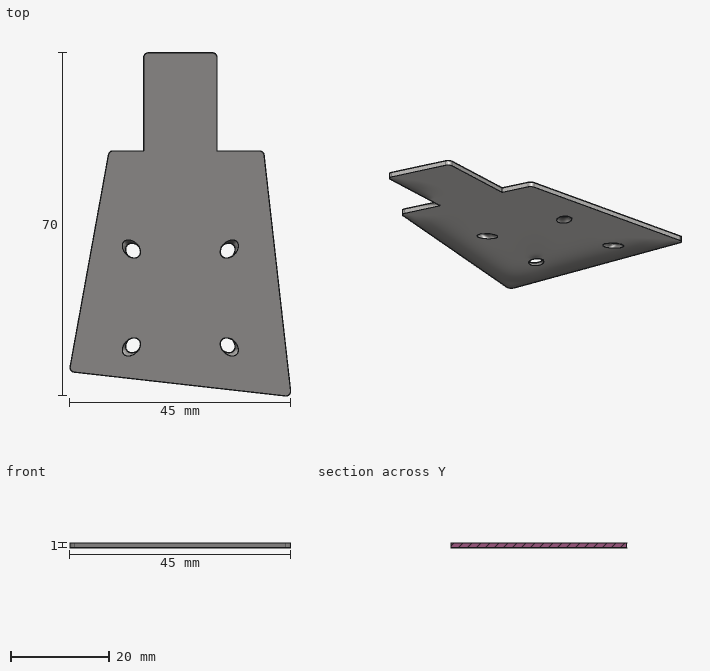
import cadquery as cq
import math

thickness = 1.0
corner_radius = 1.0
body_width = 45.0
overall_length = 70.0

tab_width = 15.0
tab_length = 20.0

hole_diameter = 3.0
hole_spacing = 20.0
hole_tilt = 45.0

upper_left_x = -13.7
upper_right_x = 16.1
lower_left_y = -14.15

bottom_y = -20.0
tab_end_y = bottom_y + overall_length
shoulder_y = tab_end_y - tab_length

corner_x = body_width / 2 - corner_radius
upper_corner_y = shoulder_y - corner_radius
upper_left_corner = (upper_left_x, upper_corner_y)
upper_right_corner = (upper_right_x, upper_corner_y)
lower_right_corner = (corner_x, bottom_y + corner_radius)
lower_left_corner = (-corner_x, lower_left_y)


def make_body():
    """Tapered plate: the polygon of corner centres grown outward by the corner radius."""
    corners = [upper_left_corner, upper_right_corner, lower_right_corner, lower_left_corner]
    outline = cq.Workplane("XY").polyline(corners).close().offset2D(corner_radius, "arc")
    return outline.extrude(thickness)


def make_tab():
    """Straight tab that starts inside the body and has a rounded outer end."""
    root_y = upper_corner_y
    tab = (
        cq.Workplane("XY")
        .center(0, (root_y + tab_end_y) / 2)
        .rect(tab_width, tab_end_y - root_y)
        .extrude(thickness)
    )
    return tab.edges("|Z and >Y").fillet(corner_radius)


def make_tilted_hole(side_x, side_y):
    """Cutter for one hole; its axis leans outward towards the (side_x, side_y) quadrant."""
    tilt = math.radians(hole_tilt)
    lean = math.sin(tilt) * math.cos(math.radians(45))
    axis = cq.Vector(side_x * lean, side_y * lean, math.cos(tilt))
    top_centre = cq.Vector(side_x * hole_spacing / 2, side_y * hole_spacing / 2, thickness)
    reach = (thickness + hole_diameter) / math.cos(tilt)
    start = top_centre - axis * reach
    return cq.Solid.makeCylinder(hole_diameter / 2, 2 * reach, start, axis)


result = make_body().union(make_tab())
for side_x in (-1, 1):
    for side_y in (-1, 1):
        result = result.cut(make_tilted_hole(side_x, side_y))